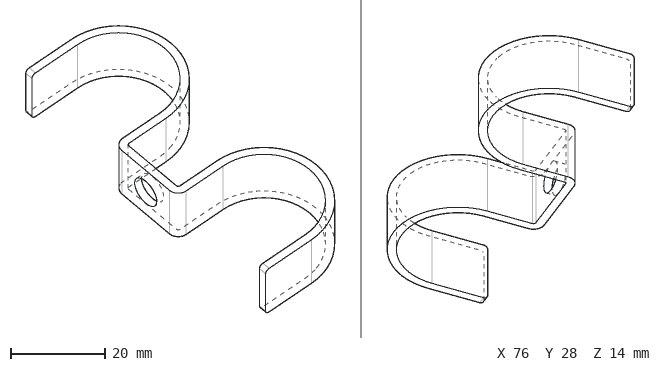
import cadquery as cq

length = 76.0
depth = 28.0
strip_width = 14.0
thickness = 2.0

arch_outer_radius = 15.0
arch_inner_radius = arch_outer_radius - thickness
arch_center_x = length / 2 - arch_outer_radius
leg_length = depth - arch_outer_radius
web_half_width = arch_center_x - arch_inner_radius
bend_outer_radius = 2.5
bend_inner_radius = bend_outer_radius - thickness
hole_diameter = 7.0
end_corner_radius = 1.0

arch_axis_y = depth / 2 - arch_outer_radius
foot_y = -depth / 2


def make_block(x_min, x_max, y_min, y_max):
    """Rectangular block over the full strip width."""
    block = cq.Workplane("XY").box(x_max - x_min, y_max - y_min, strip_width)
    return block.translate(((x_min + x_max) / 2, (y_min + y_max) / 2, 0))


def make_arch(center_x):
    """Half ring on the +Y side of its axis."""
    ring = (
        cq.Workplane("XY", origin=(center_x, arch_axis_y, -strip_width / 2))
        .circle(arch_outer_radius)
        .circle(arch_inner_radius)
        .extrude(strip_width)
    )
    upper_half = make_block(
        center_x - arch_outer_radius, center_x + arch_outer_radius, arch_axis_y, depth / 2
    )
    return ring.intersect(upper_half)


def make_web():
    """U shape of the mounting web and the two inner legs, with rounded bends."""
    inner_half_width = web_half_width - thickness
    outer = make_block(-web_half_width, web_half_width, foot_y, arch_axis_y)
    inner = make_block(-inner_half_width, inner_half_width, foot_y + thickness, arch_axis_y)
    outer = outer.edges("|Z and <Y").fillet(bend_outer_radius)
    inner = inner.edges("|Z and <Y").fillet(bend_inner_radius)
    hole = cq.Workplane("XZ").circle(hole_diameter / 2).extrude(depth, both=True)
    return outer.cut(inner).cut(hole)


def make_outer_leg(side):
    """Straight free leg with both corners of its end rounded; side is -1 or 1."""
    return (
        cq.Workplane("XY")
        .box(thickness, leg_length, strip_width)
        .edges("|X and <Y")
        .fillet(end_corner_radius)
        .translate((side * (length - thickness) / 2, foot_y + leg_length / 2, 0))
    )


result = make_web()
for side in (-1, 1):
    result = result.union(make_arch(side * arch_center_x)).union(make_outer_leg(side))